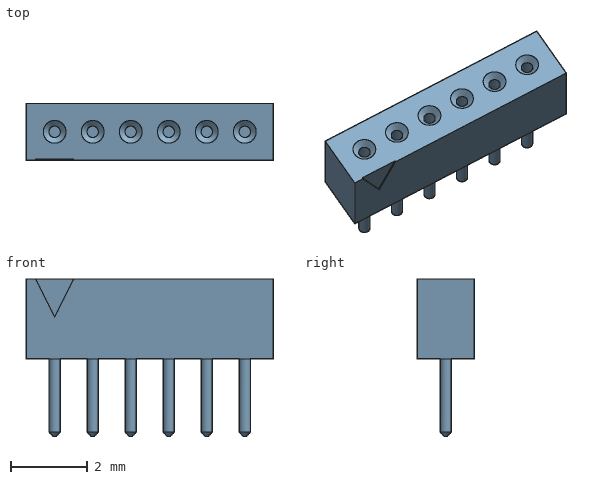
import cadquery as cq

length = 6.5
width = 1.5
height = 2.1

contact_count = 6
pitch = 1.0
first_contact_x = -pitch * (contact_count - 1) / 2
contact_xs = [first_contact_x + i * pitch for i in range(contact_count)]

pin_diameter = 0.3
bore_diameter = pin_diameter
mouth_diameter = 2 * bore_diameter
mouth_depth = (mouth_diameter - bore_diameter) / 2

pin_drop = 2.05
pin_insertion = height / 2
tip_chamfer = 0.12

mark_width = pitch
mark_height = pitch
mark_depth = 0.03


def make_socket_cutter(x):
    """Through bore and conical mouth of one socket."""
    bore = cq.Workplane("XY").center(x, 0).circle(bore_diameter / 2).extrude(height)
    mouth = cq.Workplane("XY").add(
        cq.Solid.makeCone(
            bore_diameter / 2,
            mouth_diameter / 2,
            mouth_depth,
            pnt=cq.Vector(x, 0, height - mouth_depth),
        )
    )
    return bore.union(mouth)


def make_mark_cutter():
    """Downward-pointing triangle above the first contact."""
    return (
        cq.Workplane("XZ", origin=(first_contact_x, -width / 2, height))
        .moveTo(-mark_width / 2, 0)
        .lineTo(mark_width / 2, 0)
        .lineTo(0, -mark_height)
        .close()
        .extrude(-mark_depth)
    )


def make_housing():
    """Rectangular block standing on Z = 0, with its sockets and mark."""
    block = cq.Workplane("XY").box(length, width, height, centered=(True, True, False))
    for x in contact_xs:
        block = block.cut(make_socket_cutter(x))
    return block.cut(make_mark_cutter()).solids()


def make_pin(x):
    """Round pin with a chamfered lower tip."""
    return (
        cq.Workplane("XY", origin=(x, 0, -pin_drop))
        .circle(pin_diameter / 2)
        .extrude(pin_drop + pin_insertion)
        .faces("<Z")
        .chamfer(tip_chamfer)
        .solids()
    )


housing = make_housing()
pins = [make_pin(x) for x in contact_xs]

result = cq.Compound.makeCompound([housing.val(), *[pin.val() for pin in pins]])